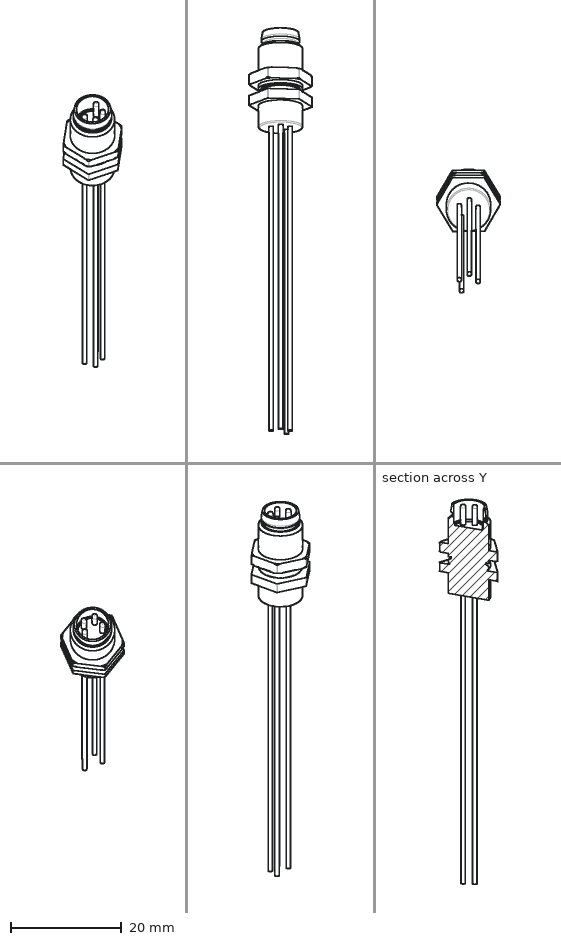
import cadquery as cq
import math

total_height = 75.0
housing_length = 17.85
housing_bottom = total_height - housing_length

body_diameter = 8.0
bottom_fillet = 0.2
shoulder_depth = 2.5
thread_end_depth = 10.6

rim_diameter = 6.5
collar_diameter = 7.0
collar_top_depth = 1.2
collar_bottom_depth = 1.65
neck_diameter = 6.4

bore_diameter = 5.8
floor_diameter = 5.3
ledge_depth = 3.75
floor_depth = 4.1

hex_across_flats = 10.0
hex_across_corners = hex_across_flats / math.cos(math.pi / 6)
hex_corner_fillet = 0.11
nut_thickness = 2.0
nut_top_depth = 7.95
nut_chamfer_diameter = 10.9
nut_chamfer_angle = math.radians(30)
flange_thickness = 1.8
flange_top_depth = 12.0

ring_seat_diameter = 6.9
ring_radius = (body_diameter - ring_seat_diameter) / 2

contact_points = [(-0.49, 1.7), (-0.49, -1.7), (1.5, 1.05), (1.5, -1.05)]
pin_diameter = 1.0
pin_top_depth = 0.3
pin_tip_fillet = 0.45
wire_diameter = 0.8


def level(depth):
    """Height of a plane lying the given depth below the top rim."""
    return total_height - depth


def revolve_about_z(profile):
    """Full turn of a closed XZ profile about the part axis."""
    return profile.close().revolve(360, (0, 0), (0, 1))


def make_housing():
    """Turned housing: thread, sealing ring, neck and collar."""
    body_r = body_diameter / 2
    seat_r = ring_seat_diameter / 2
    collar_r = collar_diameter / 2
    rim_r = rim_diameter / 2
    neck_r = neck_diameter / 2
    neck_fillet = collar_r - neck_r
    shoulder_chamfer = body_r - collar_r

    profile = (
        cq.Workplane("XZ")
        .moveTo(0, housing_bottom)
        .lineTo(body_r - bottom_fillet, housing_bottom)
        .radiusArc((body_r, housing_bottom + bottom_fillet), -bottom_fillet)
        .lineTo(body_r, level(flange_top_depth))
        .lineTo(seat_r, level(flange_top_depth))
        .threePointArc(
            (body_r, level(flange_top_depth - ring_radius)),
            (seat_r, level(flange_top_depth - 2 * ring_radius)),
        )
        .lineTo(seat_r, level(thread_end_depth))
        .lineTo(body_r, level(thread_end_depth))
        .lineTo(body_r, level(shoulder_depth + shoulder_chamfer))
        .lineTo(collar_r, level(shoulder_depth))
        .lineTo(neck_r, level(shoulder_depth))
        .lineTo(neck_r, level(collar_bottom_depth + neck_fillet))
        .radiusArc((collar_r, level(collar_bottom_depth)), neck_fillet)
        .lineTo(collar_r, level(collar_top_depth))
        .lineTo(rim_r, total_height)
        .lineTo(0, total_height)
    )
    return revolve_about_z(profile)


def make_socket():
    """Blind stepped bore."""
    bore_r = bore_diameter / 2
    floor_r = floor_diameter / 2
    profile = cq.Workplane("XZ").polyline(
        [
            (0, level(floor_depth)),
            (floor_r, level(floor_depth)),
            (floor_r, level(ledge_depth)),
            (bore_r, level(ledge_depth)),
            (bore_r, total_height),
            (0, total_height),
        ]
    )
    return revolve_about_z(profile)


def make_hexagon(top_depth, thickness):
    """Hexagonal plate with two of its softened corners on the X axis."""
    return (
        cq.Workplane("XY")
        .workplane(offset=level(top_depth + thickness))
        .polygon(6, hex_across_corners)
        .extrude(thickness)
        .edges("|Z")
        .fillet(hex_corner_fillet)
    )


def make_nut():
    """Hexagon nut with its corners turned off on both faces."""
    chamfer_r = nut_chamfer_diameter / 2
    corner_r = hex_across_corners / 2
    chamfer_height = (corner_r - chamfer_r) * math.tan(nut_chamfer_angle)
    top = level(nut_top_depth)
    bottom = level(nut_top_depth + nut_thickness)
    turned_blank = cq.Workplane("XZ").polyline(
        [
            (0, bottom),
            (chamfer_r, bottom),
            (corner_r, bottom + chamfer_height),
            (corner_r, top - chamfer_height),
            (chamfer_r, top),
            (0, top),
        ]
    )
    return make_hexagon(nut_top_depth, nut_thickness).intersect(revolve_about_z(turned_blank))


def make_pins():
    """Round-ended contact pins standing on the socket floor."""
    return (
        cq.Workplane("XY")
        .workplane(offset=level(floor_depth))
        .pushPoints(contact_points)
        .circle(pin_diameter / 2)
        .extrude(floor_depth - pin_top_depth)
        .faces(">Z")
        .edges()
        .fillet(pin_tip_fillet)
    )


def make_wires():
    """Straight wires leaving the underside of the housing."""
    return (
        cq.Workplane("XY")
        .pushPoints(contact_points)
        .circle(wire_diameter / 2)
        .extrude(housing_bottom)
    )


result = (
    make_housing()
    .cut(make_socket())
    .union(make_nut())
    .union(make_hexagon(flange_top_depth, flange_thickness))
    .union(make_pins())
    .union(make_wires())
)